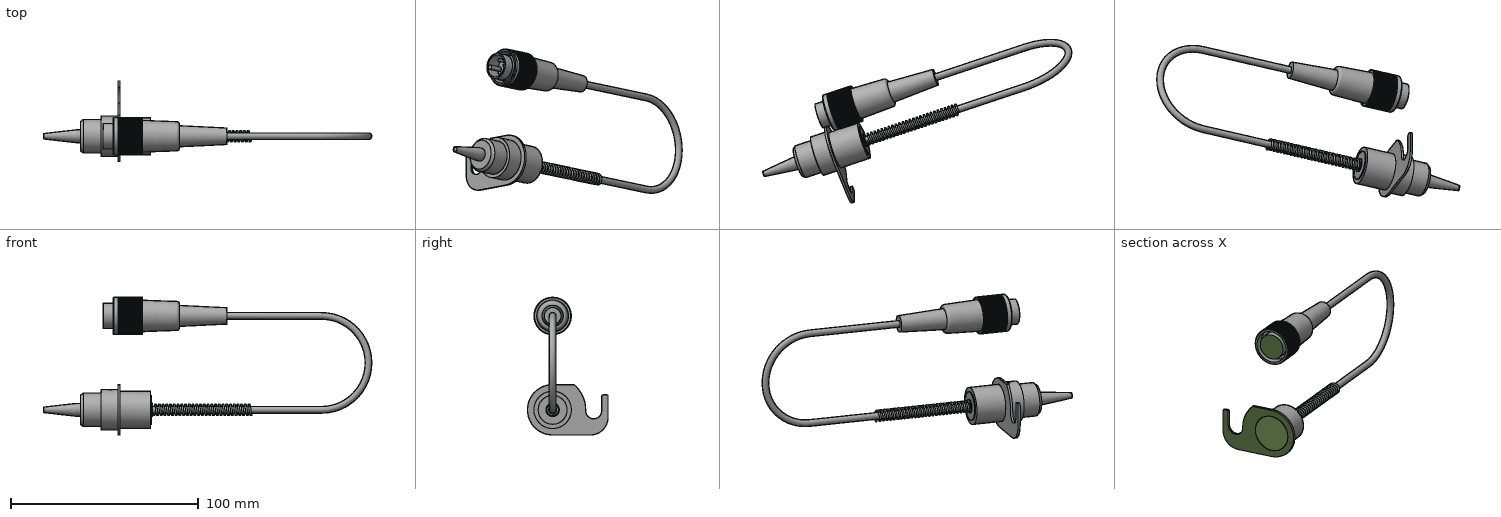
import cadquery as cq
import math


CABLE_DIA = 3.7
LEG_SPACING = 50.0
OVERALL_LENGTH = 174.7
BEND_RADIUS = LEG_SPACING / 2
BEND_START_X = OVERALL_LENGTH - BEND_RADIUS - CABLE_DIA / 2
PLUG_Z = LEG_SPACING

NOZZLE_TIP_DIA = 3.0
NOZZLE_MID_DIA = 5.2
NOZZLE_DIA = 7.0
TIP_DOME_DIA = 2.5
TIP_DOME_HEIGHT = 0.26
NOZZLE_MID_X = 9.6
NOZZLE_CONE_END_X = 17.5

HOUSING_FRONT_X = 19.5
HOUSING_FRONT_DIA = 18.0
HOUSING_CHAMFER_LENGTH = 1.5
HOUSING_CHAMFER_HEIGHT = 1.2
FLANGE_X = 30.5
FLANGE_DIA = 21.7
PINHOLE_X = 35.6
PINHOLE_DIA = 1.5
PINHOLE_DEPTH = 1.4
PLATE_X = 39.5
REAR_DIA = 20.0
HOUSING_REAR_X = 57.0
COLLAR_DIA = 15.4
COLLAR_END_X = 57.5
BOSS_DIA = 7.2
BOSS_LENGTH = 0.5
BOSS_END_X = COLLAR_END_X + BOSS_LENGTH

PLATE_THICKNESS = 1.2
PLATE_RADIUS = 13.5
PLATE_LEFT_Y = 29.5
PLATE_CORNER_RADIUS = 9.5
SLOT_EDGE_RADIUS = 17.6
SLOT_WIDTH = 8.4
SLOT_CENTER_Z = -0.5
ARM_TOP_Z = 8.0
ARM_TOP_FILLET = 1.0

SPRING_DIA = 6.3
SPRING_WIRE_DIA = 1.0
SPRING_PITCH = 2.0
SPRING_GAP = 0.09
SPRING_END_X = 111.0

SHELL_X = 31.6
SHELL_DIA = 13.6
STEM_X = 37.0
STEM_DIA = 14.0
SHELL_BORE_DIA = 11.9
SHELL_BORE_DEPTH = 7.9
PIN_DIA = 1.5
PIN_CIRCLE_RADIUS = 3.5
PIN_SETBACK = 2.1
PIN_ANGLES = (90, 180, 270)
PIN_TIP_FILLET = 0.3
KEY_DIA = 2.5
KEY_OFFSET = 4.9
KEY_SETBACK = 0.3

NUT_X = 36.9
NUT_END_X = 52.8
NUT_DIA = 20.0
NUT_RECESS_DIA = 17.1
NUT_RECESS_DEPTH = 7.0
NUT_CHAMFER = 0.5
KNURL_X = 39.7
KNURL_ROOT_DIA = 19.2
KNURL_TOOTH_COUNT = 120

BOOT_DIA = 17.0
BOOT_SHOULDER_X = 72.3
BOOT_SHOULDER_DIA = 15.5
BOOT_SHOULDER_FILLET = 1.5
SLEEVE_DIA = 11.4
SLEEVE_END_DIA = 8.9
SLEEVE_END_X = 97.5


def disc(x_start, x_end, diameter, z=0):
    """A round bar along X."""
    return cq.Workplane("YZ", origin=(x_start, 0, z)).circle(diameter / 2).extrude(x_end - x_start)


def turned(profile, z=0):
    """A turned part along X from (x, radius) points, closed along its axis."""
    outline = [(profile[0][0], 0), *profile, (profile[-1][0], 0)]
    return cq.Workplane("XY").polyline(outline).close().revolve(360, (0, 0), (1, 0)).translate((0, 0, z))


def make_nozzle():
    body = turned([
        (0, NOZZLE_TIP_DIA / 2),
        (NOZZLE_MID_X, NOZZLE_MID_DIA / 2),
        (NOZZLE_CONE_END_X, NOZZLE_DIA / 2),
        (HOUSING_FRONT_X, NOZZLE_DIA / 2),
    ])
    recess = disc(0, TIP_DOME_HEIGHT, TIP_DOME_DIA)
    dome_radius = (TIP_DOME_DIA / 2) ** 2 / (2 * TIP_DOME_HEIGHT) + TIP_DOME_HEIGHT / 2
    dome = cq.Workplane("XY").sphere(dome_radius).translate((dome_radius, 0, 0))
    return body.cut(recess.cut(dome))


def make_housing():
    front = HOUSING_FRONT_DIA / 2
    flange = FLANGE_DIA / 2
    rear = REAR_DIA / 2
    body = turned([
        (HOUSING_FRONT_X, front - HOUSING_CHAMFER_HEIGHT),
        (HOUSING_FRONT_X + HOUSING_CHAMFER_LENGTH, front),
        (FLANGE_X, front),
        (FLANGE_X, flange),
        (PLATE_X, flange),
        (PLATE_X, rear),
        (HOUSING_REAR_X, rear),
        (HOUSING_REAR_X, COLLAR_DIA / 2),
        (COLLAR_END_X, COLLAR_DIA / 2),
        (COLLAR_END_X, BOSS_DIA / 2),
        (BOSS_END_X, BOSS_DIA / 2),
    ])
    pinhole = (
        cq.Workplane("XY", origin=(PINHOLE_X, 0, flange - PINHOLE_DEPTH))
        .circle(PINHOLE_DIA / 2)
        .extrude(2 * PINHOLE_DEPTH)
    )
    return body.cut(pinhole)


def make_plate():
    slot_radius = SLOT_WIDTH / 2
    slot_left_y = SLOT_EDGE_RADIUS + SLOT_WIDTH
    shoulder_y = math.sqrt(SLOT_EDGE_RADIUS**2 - PLATE_RADIUS**2)
    mid_angle = math.atan2(PLATE_RADIUS, shoulder_y) / 2
    mid_point = (SLOT_EDGE_RADIUS * math.cos(mid_angle), SLOT_EDGE_RADIUS * math.sin(mid_angle))
    plate = (
        cq.Workplane("YZ", origin=(PLATE_X, 0, 0))
        .moveTo(0, PLATE_RADIUS)
        .lineTo(shoulder_y, PLATE_RADIUS)
        .threePointArc(mid_point, (SLOT_EDGE_RADIUS, 0))
        .lineTo(SLOT_EDGE_RADIUS, SLOT_CENTER_Z)
        .threePointArc(
            (SLOT_EDGE_RADIUS + slot_radius, SLOT_CENTER_Z - slot_radius),
            (slot_left_y, SLOT_CENTER_Z),
        )
        .lineTo(slot_left_y, ARM_TOP_Z)
        .lineTo(PLATE_LEFT_Y, ARM_TOP_Z)
        .lineTo(PLATE_LEFT_Y, PLATE_CORNER_RADIUS - PLATE_RADIUS)
        .radiusArc((PLATE_LEFT_Y - PLATE_CORNER_RADIUS, -PLATE_RADIUS), PLATE_CORNER_RADIUS)
        .lineTo(0, -PLATE_RADIUS)
        .threePointArc((-PLATE_RADIUS, 0), (0, PLATE_RADIUS))
        .close()
        .extrude(PLATE_THICKNESS)
    )
    margin = PLATE_THICKNESS / 10
    arm_corners = cq.selectors.BoxSelector(
        (PLATE_X - margin, slot_left_y - margin, ARM_TOP_Z - margin),
        (PLATE_X + PLATE_THICKNESS + margin, PLATE_LEFT_Y + margin, ARM_TOP_Z + margin),
    )
    plate = plate.edges("|X").edges(arm_corners).fillet(ARM_TOP_FILLET)
    return plate.cut(disc(PLATE_X, PLATE_X + PLATE_THICKNESS, REAR_DIA))


def make_spring():
    coil_radius = (SPRING_DIA - SPRING_WIRE_DIA) / 2
    coil_start_x = BOSS_END_X + SPRING_GAP + SPRING_WIRE_DIA / 2
    coil_length = SPRING_END_X - SPRING_WIRE_DIA / 2 - coil_start_x
    helix = cq.Wire.makeHelix(SPRING_PITCH, coil_length, coil_radius)
    wire = (
        cq.Workplane("XZ", origin=(coil_radius, 0, 0))
        .circle(SPRING_WIRE_DIA / 2)
        .sweep(cq.Workplane(obj=helix), isFrenet=True)
    )
    return wire.rotate((0, 0, 0), (0, 1, 0), 90).translate((coil_start_x, 0, 0))


def make_cable():
    path = (
        cq.Workplane("XZ")
        .moveTo(BOSS_END_X, 0)
        .lineTo(BEND_START_X, 0)
        .threePointArc((BEND_START_X + BEND_RADIUS, BEND_RADIUS), (BEND_START_X, PLUG_Z))
        .lineTo(SLEEVE_END_X, PLUG_Z)
    )
    return cq.Workplane("YZ", origin=(BOSS_END_X, 0, 0)).circle(CABLE_DIA / 2).sweep(path)


def make_insert():
    floor_x = SHELL_X + SHELL_BORE_DEPTH
    bore = disc(SHELL_X, floor_x, SHELL_BORE_DIA, PLUG_Z)
    shell = disc(SHELL_X, STEM_X, SHELL_DIA, PLUG_Z)
    stem = disc(STEM_X, NUT_END_X, STEM_DIA, PLUG_Z)
    insert = shell.union(stem).cut(bore)
    for angle in PIN_ANGLES:
        turn = math.radians(angle)
        pin = disc(SHELL_X + PIN_SETBACK, floor_x, PIN_DIA, PLUG_Z)
        pin = pin.faces("<X").edges().fillet(PIN_TIP_FILLET)
        pin = pin.translate((0, PIN_CIRCLE_RADIUS * math.cos(turn), PIN_CIRCLE_RADIUS * math.sin(turn)))
        insert = insert.union(pin)
    key = disc(SHELL_X + KEY_SETBACK, floor_x, KEY_DIA, PLUG_Z).translate((0, KEY_OFFSET, 0))
    return insert.union(key)


def make_nut():
    nut = disc(NUT_X, KNURL_X, NUT_DIA, PLUG_Z).faces("<X").edges().chamfer(NUT_CHAMFER)
    teeth = []
    for step in range(2 * KNURL_TOOTH_COUNT):
        radius = (NUT_DIA if step % 2 == 0 else KNURL_ROOT_DIA) / 2
        turn = math.pi * step / KNURL_TOOTH_COUNT
        teeth.append((radius * math.cos(turn), radius * math.sin(turn)))
    knurl = (
        cq.Workplane("YZ", origin=(KNURL_X, 0, PLUG_Z))
        .polyline(teeth)
        .close()
        .extrude(NUT_END_X - KNURL_X)
    )
    nut = nut.union(knurl)
    nut = nut.cut(disc(NUT_X, NUT_X + NUT_RECESS_DEPTH, NUT_RECESS_DIA, PLUG_Z))
    return nut.cut(disc(NUT_X, NUT_END_X, STEM_DIA, PLUG_Z))


def make_boot():
    shoulder = turned([
        (NUT_END_X, BOOT_DIA / 2),
        (BOOT_SHOULDER_X, BOOT_SHOULDER_DIA / 2),
    ], PLUG_Z)
    shoulder = shoulder.faces(">X").edges().fillet(BOOT_SHOULDER_FILLET)
    sleeve = turned([
        (BOOT_SHOULDER_X, SLEEVE_DIA / 2),
        (SLEEVE_END_X, SLEEVE_END_DIA / 2),
    ], PLUG_Z)
    return shoulder.union(sleeve)


nozzle = make_nozzle()
housing = make_housing()
plate = make_plate()
spring = make_spring()
cable = make_cable()
insert = make_insert()
nut = make_nut()
boot = make_boot()

result = cq.Compound.makeCompound([
    nozzle.val(),
    housing.val(),
    plate.val(),
    spring.val(),
    cable.val(),
    insert.val(),
    nut.val(),
    boot.val(),
])